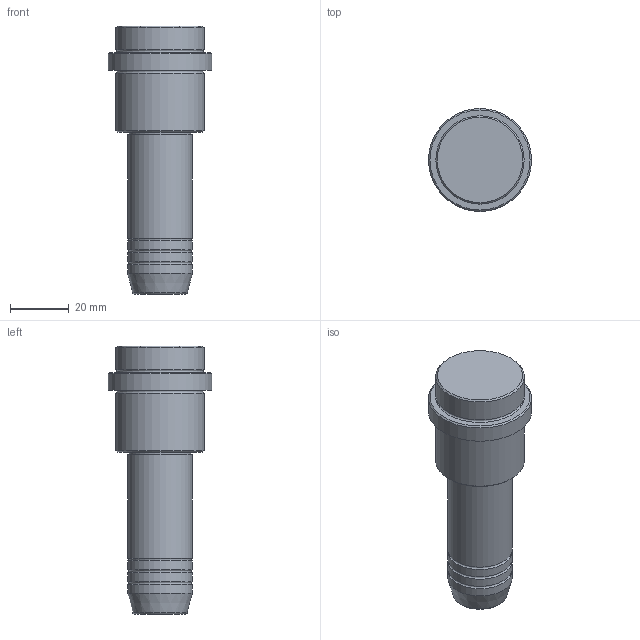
import cadquery as cq
import math

total_height = 91.0
head_height = 9.0
flange_height = 6.0
body_height = 21.0

flange_radius = 17.5
body_radius = 15.0
shank_radius = 11.0

edge_chamfer = 0.5

taper_height = 7.0
taper_angle = math.radians(15)
tip_fillet_radius = 0.5

round_groove_radius = 0.5

relief_width = 1.0
relief_depth = 0.5

oil_groove_count = 3
oil_groove_pitch = 4.0
lowest_oil_groove_z = 10.0

tip_radius = shank_radius - taper_height * math.tan(taper_angle)

flange_top = total_height - head_height
flange_bottom = flange_top - flange_height
body_bottom = flange_bottom - body_height


def cylinder(radius, bottom, top):
    """Solid cylinder on the Z axis between two levels."""
    return cq.Workplane("XY").workplane(offset=bottom).circle(radius).extrude(top - bottom)


def ring_groove(radius, depth, bottom, width):
    """Square-section ring to cut into a cylinder of the given radius."""
    outer = cylinder(radius, bottom, bottom + width)
    return outer.cut(cylinder(radius - depth, bottom, bottom + width))


def round_groove(radius, bottom):
    """Half-round ring to cut into a cylinder of the given radius."""
    center_z = bottom + round_groove_radius
    start = (radius, bottom)
    deepest = (radius - round_groove_radius, center_z)
    end = (radius, center_z + round_groove_radius)
    section = cq.Workplane("XZ").moveTo(*start).threePointArc(deepest, end).close()
    return section.revolve(360, (0, 0), (0, 1))


def make_shank():
    """Lower shank with a tapered, rounded tip, oil grooves and a relief under the body."""
    half_profile = [
        (0, 0),
        (tip_radius, 0),
        (shank_radius, taper_height),
        (shank_radius, body_bottom),
        (0, body_bottom),
    ]
    shank = cq.Workplane("XZ").polyline(half_profile).close().revolve(360, (0, 0), (0, 1))
    shank = shank.faces("<Z").fillet(tip_fillet_radius)
    for index in range(oil_groove_count):
        groove_z = lowest_oil_groove_z + index * oil_groove_pitch
        shank = shank.cut(round_groove(shank_radius, groove_z))
    return shank.cut(ring_groove(shank_radius, relief_depth, body_bottom - relief_width, relief_width))


def make_body():
    """Fitting cylinder below the flange, relieved next to it."""
    body = cylinder(body_radius, body_bottom, flange_bottom).faces("<Z").chamfer(edge_chamfer)
    return body.cut(round_groove(body_radius, flange_bottom - 2 * round_groove_radius))


def make_flange():
    """Collar with a chamfered upper edge."""
    return cylinder(flange_radius, flange_bottom, flange_top).faces(">Z").chamfer(edge_chamfer)


def make_head():
    """Cylinder above the flange, relieved next to it."""
    head = cylinder(body_radius, flange_top, total_height).faces(">Z").chamfer(edge_chamfer)
    return head.cut(round_groove(body_radius, flange_top))


result = make_shank().union(make_body()).union(make_flange()).union(make_head())